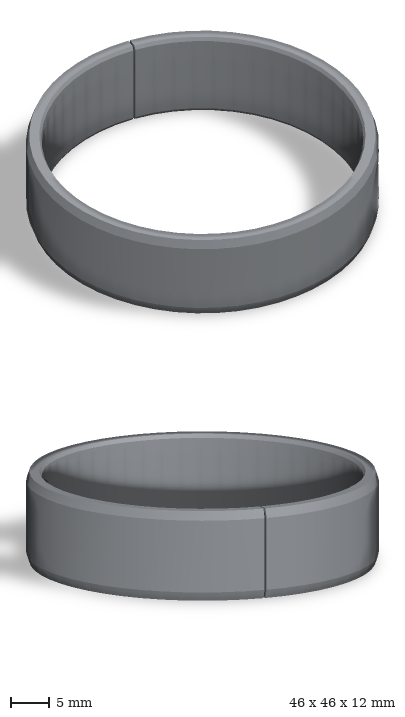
import cadquery as cq
import math

outer_diameter = 46.0
height = 12.0
bore_diameter = 42.0
outer_chamfer_height = 1.2
outer_chamfer_depth = 0.4
inner_chamfer_height = 0.5
inner_chamfer_depth = 0.28

split_width = 0.28
split_offset = 0.25

hole_diameter = 8.0
hole_angle = 59.0

outer_radius = outer_diameter / 2
bore_radius = bore_diameter / 2


def ring_body():
    """Revolve the chamfered wall section about Z, with the base on Z = 0."""
    section = [
        (bore_radius + inner_chamfer_depth, 0),
        (outer_radius - outer_chamfer_depth, 0),
        (outer_radius, outer_chamfer_height),
        (outer_radius, height - outer_chamfer_height),
        (outer_radius - outer_chamfer_depth, height),
        (bore_radius + inner_chamfer_depth, height),
        (bore_radius, height - inner_chamfer_height),
        (bore_radius, inner_chamfer_height),
    ]
    return cq.Workplane("XZ").polyline(section).close().revolve(360, (0, 0), (0, 1))


def split_cutter():
    """Thin full-height slab that opens the ring on the -X side."""
    return (
        cq.Workplane("XY")
        .center(-outer_radius, split_offset)
        .rect(outer_radius, split_width)
        .extrude(height)
    )


def radial_hole_cutter():
    """Cylinder from the axis outward through one side of the wall."""
    angle = math.radians(hole_angle)
    outward = cq.Vector(math.cos(angle), math.sin(angle), 0)
    start = cq.Vector(0, 0, height / 2)
    return cq.Solid.makeCylinder(hole_diameter / 2, outer_diameter, start, outward)


result = ring_body().cut(split_cutter()).cut(radial_hole_cutter())